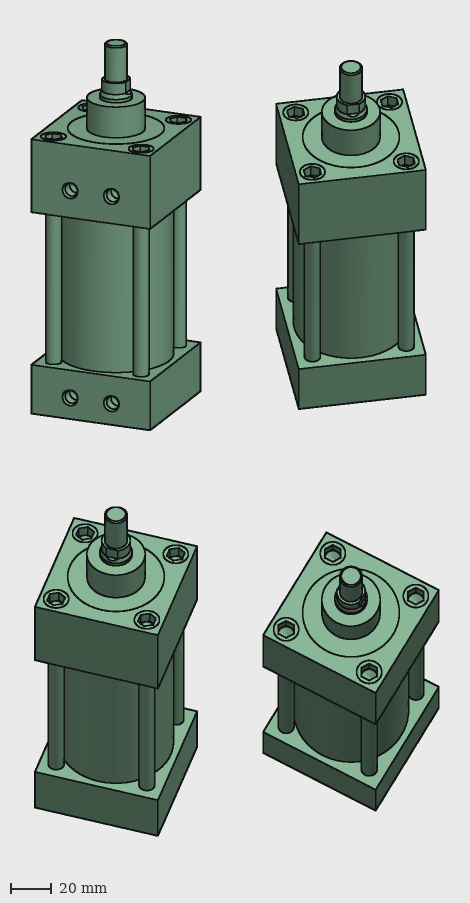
import cadquery as cq
import math

block_side = 63.5
cap_height = 25.5
tube_length = 79.5
head_height = 38.0
tube_diameter = 56.8
tie_rod_diameter = 7.9
tie_rod_offset = 23.5

retainer_diameter = 47.5
bush_diameter = 28.7
bush_height = 16.0
seat_depth = 0.1
screw_head_diameter = 12.4
socket_across_flats = 7.9
socket_depth = 5.6

port_spacing = 22.1
port_diameter = 6.7
port_mouth_diameter = 8.0
port_mouth_depth = 1.9
port_depth = 7.5
cap_port_height = 11.0
head_port_height = 14.0
drill_point_angle = 118

total_height = 187.3
rod_diameter = 16.0
collar_diameter = 14.0
collar_flats_width = 12.7
stud_diameter = 11.0
stud_length = 18.7
stud_chamfer = 0.7
collar_length = 5.8
shoulder_length = 2.2

head_bottom = cap_height + tube_length
head_top = head_bottom + head_height
bush_top = head_top + bush_height
collar_top = total_height - stud_length
collar_bottom = collar_top - collar_length
shoulder_bottom = collar_bottom - shoulder_length
rod_bottom = head_bottom


def square_block(bottom, height):
    return cq.Workplane("XY").workplane(offset=bottom).rect(block_side, block_side).extrude(height)


def cylinder(bottom, height, diameter):
    return cq.Workplane("XY").workplane(offset=bottom).circle(diameter / 2).extrude(height)


def tie_rod_axes(level):
    """Workplane with a point on each of the four tie-rod axes."""
    pitch = 2 * tie_rod_offset
    return cq.Workplane("XY").workplane(offset=level).rect(pitch, pitch, forConstruction=True).vertices()


def port(x, z):
    """Drilled port with a tapered mouth and a conical bottom."""
    drill_radius = port_diameter / 2
    mouth_radius = port_mouth_diameter / 2
    tip_depth = port_depth + drill_radius / math.tan(math.radians(drill_point_angle / 2))
    profile = (
        cq.Workplane("XY")
        .moveTo(0, 0)
        .lineTo(mouth_radius, 0)
        .lineTo(drill_radius, port_mouth_depth)
        .lineTo(drill_radius, port_depth)
        .lineTo(0, tip_depth)
        .close()
    )
    return profile.revolve(360, (0, 0, 0), (0, 1, 0)).translate((x, -block_side / 2, z))


def screw_sockets():
    """Hexagonal sockets of the tie-rod screws, each with a conical drill point at its floor."""
    corner_diameter = 2 * socket_across_flats / math.sqrt(3)
    floor = head_top - socket_depth
    point_radius = socket_across_flats / 2
    point_depth = point_radius / math.tan(math.radians(drill_point_angle / 2))
    drill_point = cq.Solid.makeCone(point_radius, 0, point_depth, cq.Vector(), cq.Vector(0, 0, -1))
    hexagons = tie_rod_axes(head_top).polygon(6, corner_diameter).extrude(-socket_depth)
    points = tie_rod_axes(floor).eachpoint(lambda place: drill_point.moved(place))
    return hexagons.union(points)


def make_housing():
    """End blocks, tube, tie rods and bush in one piece, bored for the piston rod."""
    body = square_block(0, cap_height)
    body = body.union(cylinder(cap_height, tube_length, tube_diameter))
    body = body.union(tie_rod_axes(cap_height).circle(tie_rod_diameter / 2).extrude(tube_length))
    body = body.union(square_block(head_bottom, head_height))
    body = body.cut(cylinder(head_top - seat_depth, seat_depth, retainer_diameter))
    body = body.union(cylinder(head_top - seat_depth, bush_height + seat_depth, bush_diameter))
    body = body.cut(tie_rod_axes(head_top).circle(screw_head_diameter / 2).extrude(-seat_depth))
    body = body.cut(screw_sockets())
    for x in (-port_spacing / 2, port_spacing / 2):
        for z in (cap_port_height, head_bottom + head_port_height):
            body = body.cut(port(x, z))
    return body.cut(cylinder(rod_bottom, bush_top - rod_bottom, rod_diameter))


def flat_cutter():
    """Material removed for the +X wrench flat, ending in a 45 degree runout at its foot."""
    flat_x = collar_flats_width / 2
    outer_x = rod_diameter
    return (
        cq.Workplane("XZ")
        .moveTo(flat_x, collar_top)
        .lineTo(flat_x, collar_bottom)
        .lineTo(outer_x, collar_bottom - (outer_x - flat_x))
        .lineTo(outer_x, collar_top)
        .close()
        .extrude(rod_diameter / 2, both=True)
    )


def make_rod():
    """Stepped rod with a conical shoulder, a collar with two wrench flats and a plain stud."""
    stud_radius = stud_diameter / 2
    profile = (
        cq.Workplane("XZ")
        .moveTo(0, rod_bottom)
        .lineTo(rod_diameter / 2, rod_bottom)
        .lineTo(rod_diameter / 2, shoulder_bottom)
        .lineTo(collar_diameter / 2, collar_bottom)
        .lineTo(collar_diameter / 2, collar_top)
        .lineTo(stud_radius, collar_top)
        .lineTo(stud_radius, total_height - stud_chamfer)
        .lineTo(stud_radius - stud_chamfer, total_height)
        .lineTo(0, total_height)
        .close()
    )
    rod = profile.revolve(360, (0, 0, 0), (0, 1, 0))
    return rod.cut(flat_cutter()).cut(flat_cutter().mirror("YZ"))


housing = make_housing()
piston_rod = make_rod()
result = cq.Compound.makeCompound([housing.val(), piston_rod.val()])